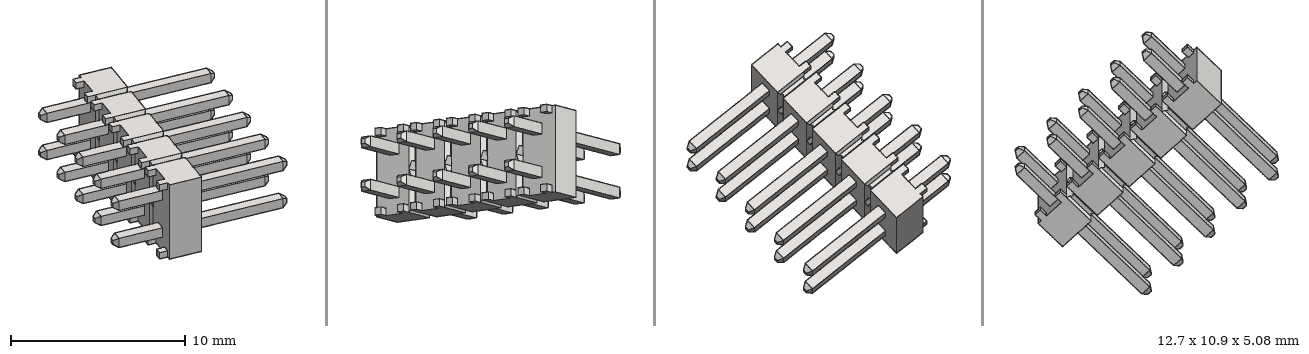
import cadquery as cq

pitch = 2.54
columns = 5
rows = 2
body_depth = 2.02

groove_width = 0.5
groove_depth = 0.25
end_groove_floor = 0.25

window_height = 1.02

peg_width = 0.43
peg_height = 0.43
peg_length = 0.51

pin_width = 0.64
pin_tip_width = 0.28
pin_taper = 0.3
pin_front_reach = 3.05
pin_back_reach = 5.85

body_length = columns * pitch
body_height = rows * pitch
half_height = body_height / 2
column_centers = [(i - (columns - 1) / 2) * pitch for i in range(columns)]
row_centers = [(j - (rows - 1) / 2) * pitch for j in range(rows)]
groove_centers = [x + pitch / 2 for x in column_centers[:-1]]


def make_body():
    """Plain block that carries all the pins."""
    block = cq.Workplane("XY").box(body_length, body_depth, body_height)
    return block.translate((0, body_depth / 2, 0))


def make_face_grooves(x):
    """V grooves running along Z in the front and back faces."""
    half = groove_width / 2
    front = [(x - half, 0), (x + half, 0), (x, groove_depth)]
    back = [(px, body_depth - py) for px, py in front]
    bottom = cq.Workplane("XY").workplane(offset=-half_height)
    return bottom.polyline(front).close().polyline(back).close().extrude(body_height)


def make_end_grooves(x):
    """Flat-floored grooves running along Y in the top and bottom faces."""
    half = groove_width / 2
    floor_half = end_groove_floor / 2
    floor_z = half_height - groove_depth
    top = [
        (x - half, half_height),
        (x + half, half_height),
        (x + floor_half, floor_z),
        (x - floor_half, floor_z),
    ]
    bottom = [(px, -pz) for px, pz in top]
    front = cq.Workplane("XZ")
    return front.polyline(top).close().polyline(bottom).close().extrude(-body_depth)


def make_window(x):
    """Six-sided opening through the body, widest at mid height."""
    half = groove_width / 2
    floor_half = end_groove_floor / 2
    top = window_height / 2
    outline = [
        (x - half, 0),
        (x - floor_half, top),
        (x + floor_half, top),
        (x + half, 0),
        (x + floor_half, -top),
        (x - floor_half, -top),
    ]
    return cq.Workplane("XZ").polyline(outline).close().extrude(-body_depth)


def make_pegs():
    """Four pegs per column, flush with the groove edges and the top and bottom faces."""
    peg_x = (pitch - groove_width - peg_width) / 2
    peg_z = (body_height - peg_height) / 2
    centers = [
        (x + side_x * peg_x, side_z * peg_z)
        for x in column_centers
        for side_x in (-1, 1)
        for side_z in (-1, 1)
    ]
    return cq.Workplane("XZ").pushPoints(centers).rect(peg_width, peg_height).extrude(peg_length)


def make_pin(x, z):
    """Square pin along Y with a truncated pyramid at each end."""
    front_shoulder = -pin_front_reach + pin_taper
    back_shoulder = body_depth + pin_back_reach - pin_taper
    pin = (
        cq.Workplane("XZ", origin=(x, back_shoulder, z))
        .rect(pin_width, pin_width)
        .extrude(back_shoulder - front_shoulder)
    )
    for shoulder, direction in ((front_shoulder, 1), (back_shoulder, -1)):
        tip = (
            cq.Workplane("XZ", origin=(x, shoulder, z))
            .rect(pin_width, pin_width)
            .workplane(offset=direction * pin_taper)
            .rect(pin_tip_width, pin_tip_width)
            .loft(ruled=True)
        )
        pin = pin.union(tip)
    return pin


result = make_body()
for groove_x in groove_centers:
    result = result.cut(make_face_grooves(groove_x))
    result = result.cut(make_end_grooves(groove_x))
    result = result.cut(make_window(groove_x))
result = result.union(make_pegs())
for column_x in column_centers:
    for row_z in row_centers:
        result = result.union(make_pin(column_x, row_z))